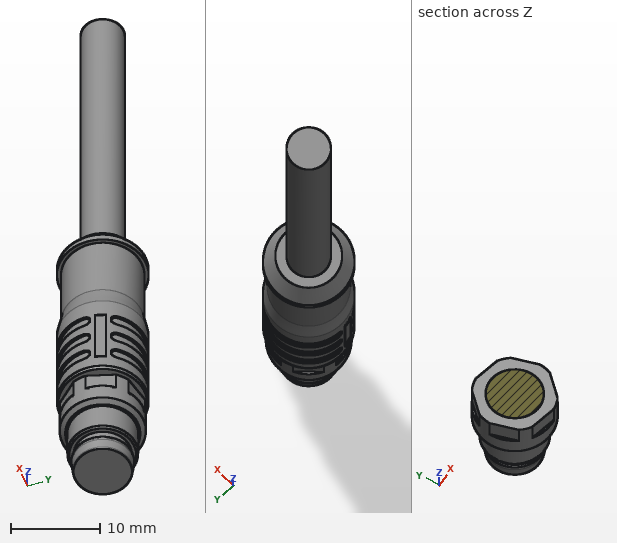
import cadquery as cq

TOTAL_LENGTH = 78.2
CABLE_LENGTH = 40.0
TIP_EDGE_Z = 0.2
TIP_RIM_BOTTOM_Z = 1.4
TIP_RIM_TOP_Z = 1.9
TIP_TOP_Z = 2.0
BARREL_BOTTOM_Z = 3.05
NUT_CONE_BOTTOM_Z = 6.8
NUT_CONE_TOP_Z = 7.3
NUT_TOP_Z = 11.65
GRIP_BOTTOM_Z = 12.2
SHOULDER_BOTTOM_Z = 24.25
SHOULDER_TOP_Z = 26.8
COLLAR_BOTTOM_Z = 35.3
COLLAR_TOP_Z = 36.1
GRIP_TOP_Z = TOTAL_LENGTH - CABLE_LENGTH

CABLE_RADIUS = 2.5
GRIP_RADIUS = 5.2
SLEEVE_RADIUS = 4.7
GRIP_END_RADIUS = 3.75
NECK_RADIUS = 3.3
NUT_RADIUS = 4.85
NUT_CONE_RADIUS = 4.2
BARREL_RADIUS = 4.0
TIP_RIM_RADIUS = 3.5
TIP_EDGE_RADIUS = 3.4
BARREL_CHAMFER = 0.2
GRIP_CHAMFER_HEIGHT = 0.4
GRIP_CHAMFER_WIDTH = 0.15

TURN_ANGLE = 15.0

GROOVE_HEIGHT = 1.5
GROOVE_PITCH = 3.0
GROOVE_COUNT = 3
GROOVE_MIDDLE_Z = 18.1
GROOVE_DEPTH = 0.2
LAND_WAIST = 2.35

POCKET_WIDTH = 1.25
POCKET_HEIGHT = (GROOVE_COUNT - 1) * GROOVE_PITCH + GROOVE_HEIGHT
POCKET_DEPTH = 0.12

FLAT_COUNT = 6
FLAT_DISTANCE = 4.5
FLAT_HEIGHT = 2.3


def turned_body():
    """Plug tip, barrel, nut, grip and cable as one revolved profile."""
    profile = [
        (0, 0),
        (NECK_RADIUS, 0),
        (TIP_EDGE_RADIUS, TIP_EDGE_Z),
        (TIP_RIM_RADIUS, TIP_RIM_BOTTOM_Z),
        (TIP_RIM_RADIUS, TIP_RIM_TOP_Z),
        (NECK_RADIUS, TIP_TOP_Z),
        (NECK_RADIUS, BARREL_BOTTOM_Z),
        (BARREL_RADIUS - BARREL_CHAMFER, BARREL_BOTTOM_Z),
        (BARREL_RADIUS, BARREL_BOTTOM_Z + BARREL_CHAMFER),
        (BARREL_RADIUS, NUT_CONE_BOTTOM_Z),
        (NUT_CONE_RADIUS, NUT_CONE_BOTTOM_Z),
        (NUT_RADIUS, NUT_CONE_TOP_Z),
        (NUT_RADIUS, NUT_TOP_Z),
        (NECK_RADIUS, NUT_TOP_Z),
        (NECK_RADIUS, GRIP_BOTTOM_Z),
        (GRIP_RADIUS - GRIP_CHAMFER_WIDTH, GRIP_BOTTOM_Z),
        (GRIP_RADIUS, GRIP_BOTTOM_Z + GRIP_CHAMFER_HEIGHT),
        (GRIP_RADIUS, SHOULDER_BOTTOM_Z),
        (SLEEVE_RADIUS, SHOULDER_TOP_Z),
        (SLEEVE_RADIUS, COLLAR_BOTTOM_Z),
        (GRIP_RADIUS, COLLAR_BOTTOM_Z),
        (GRIP_RADIUS, COLLAR_TOP_Z),
        (GRIP_END_RADIUS, GRIP_TOP_Z),
        (CABLE_RADIUS, GRIP_TOP_Z),
        (CABLE_RADIUS, TOTAL_LENGTH),
        (0, TOTAL_LENGTH),
    ]
    return cq.Workplane("XZ").polyline(profile).close().revolve(360, (0, 0), (0, 1))


def groove_cutter(middle_z):
    """Ring split by an upright land at each end of X, leaving two round-ended grooves."""
    end_radius = GROOVE_HEIGHT / 2
    land_half_waist = LAND_WAIST / 2
    land_half_width = land_half_waist + end_radius
    ring = (
        cq.Workplane("XY", origin=(0, 0, middle_z - end_radius))
        .circle(GRIP_RADIUS + GROOVE_DEPTH)
        .circle(GRIP_RADIUS - GROOVE_DEPTH)
        .extrude(GROOVE_HEIGHT)
    )
    land = (
        cq.Workplane("YZ", origin=(0, 0, middle_z))
        .moveTo(-land_half_width, -end_radius)
        .lineTo(land_half_width, -end_radius)
        .threePointArc((land_half_waist, 0), (land_half_width, end_radius))
        .lineTo(-land_half_width, end_radius)
        .threePointArc((-land_half_waist, 0), (-land_half_width, -end_radius))
        .close()
        .extrude(2 * GRIP_RADIUS, both=True)
    )
    return ring.cut(land)


def turn(shape, angle):
    """Turn a shape about the part axis."""
    return shape.rotate((0, 0, 0), (0, 0, 1), angle)


def cut_grip(body):
    """Cut the finger grooves and land pockets, the same on opposite sides."""
    pocket = cq.Workplane("XY").box(2 * POCKET_DEPTH, POCKET_WIDTH, POCKET_HEIGHT)
    pocket = pocket.translate((GRIP_RADIUS, 0, GROOVE_MIDDLE_Z))
    for side_angle in (TURN_ANGLE, TURN_ANGLE + 180):
        body = body.cut(turn(pocket, side_angle))
    for index in range(GROOVE_COUNT):
        middle_z = GROOVE_MIDDLE_Z + (index - (GROOVE_COUNT - 1) / 2) * GROOVE_PITCH
        body = body.cut(turn(groove_cutter(middle_z), TURN_ANGLE))
    return body


def cut_nut_flats(body):
    """Cut the wrench flats down from the top of the nut."""
    block = cq.Workplane("XY").box(NUT_RADIUS, 2 * NUT_RADIUS, FLAT_HEIGHT)
    block = block.translate((FLAT_DISTANCE + NUT_RADIUS / 2, 0, NUT_TOP_Z - FLAT_HEIGHT / 2))
    for index in range(FLAT_COUNT):
        body = body.cut(turn(block, TURN_ANGLE + index * 360 / FLAT_COUNT))
    return body


result = cut_nut_flats(cut_grip(turned_body()))